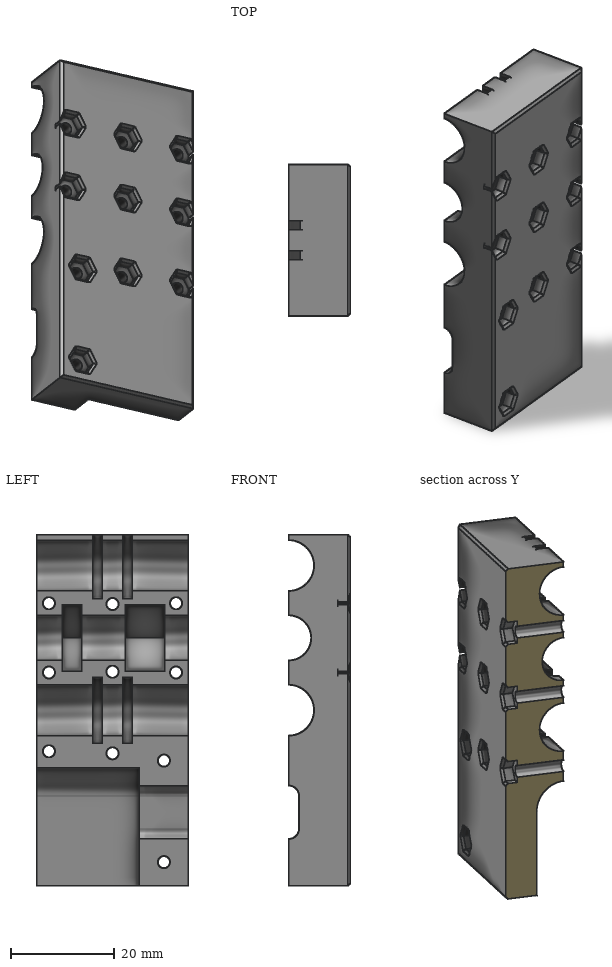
import cadquery as cq
import math

thickness = 11.96
width = 29.4
height = 68.0
back_chamfer = 0.5
chamfer_angle = 45
hex_sides = 6

top_channel_drop = 6.0
channel_pitch = 14.0
top_channel_z = height - top_channel_drop
hex_channel_z = top_channel_z - channel_pitch
low_channel_z = hex_channel_z - channel_pitch
bearing_channel_radius = 4.9
hex_channel_radius = 4.35

groove_radius = 6.4
groove_width = 1.8
groove_y = 2.9

pocket_across_flats = 12.85
hex_pockets = [(7.85, 3.8), (-6.27, 7.7)]

recess_depth = 5.45
recess_end_y = -5.2
recess_floor_top_z = 17.4

slot_depth = 2.0
slot_floor_bottom_z = 11.1

screw_diameter = 2.3
nut_seat_corner_diameter = 5.12
nut_seat_depth = 2.4
outer_screw_y = 12.3
outer_screw_offset_z = 6.7
middle_screw_offset_z = 6.55
slot_screw_y = -9.95
screw_positions = [
    (outer_screw_y, hex_channel_z + outer_screw_offset_z),
    (-outer_screw_y, hex_channel_z + outer_screw_offset_z),
    (outer_screw_y, hex_channel_z - outer_screw_offset_z),
    (-outer_screw_y, hex_channel_z - outer_screw_offset_z),
    (0, hex_channel_z + middle_screw_offset_z),
    (0, hex_channel_z - middle_screw_offset_z),
    (outer_screw_y, 26.05),
    (0, 25.65),
    (slot_screw_y, 24.25),
    (slot_screw_y, 4.6),
]


def section_at(y_start):
    """XZ sketch plane at a given Y; extruding from it goes toward +Y."""
    return cq.Workplane("XZ", origin=(0, y_start, 0))


def cylinder_along_y(radius, center_y, length, z):
    start = section_at(center_y - length / 2)
    return start.center(0, z).circle(radius).extrude(-length)


def hexagon_along_y(center_y, length, z):
    """Hexagonal prism with its flats facing up and down."""
    corner_diameter = pocket_across_flats / math.cos(math.pi / hex_sides)
    start = section_at(center_y - length / 2)
    return start.center(0, z).polygon(hex_sides, corner_diameter).extrude(-length)


def back_plane_at(x_start, y, z):
    """YZ sketch plane at a given X; extruding from it goes toward the back face."""
    return cq.Workplane("YZ", origin=(x_start, y, z))


def make_block():
    block = cq.Workplane("XY").box(thickness, width, height, centered=(False, True, False))
    return block.faces(">X").chamfer(back_chamfer)


def cut_bearing_channels(body):
    for z in (top_channel_z, low_channel_z):
        body = body.cut(cylinder_along_y(bearing_channel_radius, 0, width, z))
        for y in (-groove_y, groove_y):
            body = body.cut(cylinder_along_y(groove_radius, y, groove_width, z))
    return body


def cut_hex_channel(body):
    body = body.cut(cylinder_along_y(hex_channel_radius, 0, width, hex_channel_z))
    for center_y, length in hex_pockets:
        body = body.cut(hexagon_along_y(center_y, length, hex_channel_z))
    return body


def cut_recess(body):
    length = width / 2 - recess_end_y
    flat_part = (
        section_at(recess_end_y)
        .rect(recess_depth, recess_floor_top_z, centered=False)
        .extrude(-length)
    )
    center_y = recess_end_y + length / 2
    rounded_end = cylinder_along_y(recess_depth, center_y, length, recess_floor_top_z)
    return body.cut(flat_part).cut(rounded_end)


def cut_slot(body):
    length = recess_end_y + width / 2
    floor_height = recess_floor_top_z - slot_floor_bottom_z
    slot = (
        section_at(-width / 2)
        .center(0, slot_floor_bottom_z)
        .rect(slot_depth, floor_height, centered=False)
        .extrude(-length)
    )
    center_y = recess_end_y - length / 2
    for z in (slot_floor_bottom_z, recess_floor_top_z):
        slot = slot.union(cylinder_along_y(slot_depth, center_y, length, z))
    return body.cut(slot)


def cut_screw_holes(body):
    for y, z in screw_positions:
        hole = back_plane_at(0, y, z).circle(screw_diameter / 2).extrude(thickness)
        seat_start = back_plane_at(thickness - nut_seat_depth, y, z)
        seat = seat_start.polygon(hex_sides, nut_seat_corner_diameter).extrude(nut_seat_depth)
        mouth_start = back_plane_at(thickness - back_chamfer, y, z)
        mouth_outline = mouth_start.polygon(hex_sides, nut_seat_corner_diameter)
        mouth = mouth_outline.extrude(back_chamfer, taper=-chamfer_angle)
        body = body.cut(hole).cut(seat).cut(mouth)
    return body


result = make_block()
result = cut_bearing_channels(result)
result = cut_hex_channel(result)
result = cut_recess(result)
result = cut_slot(result)
result = cut_screw_holes(result)